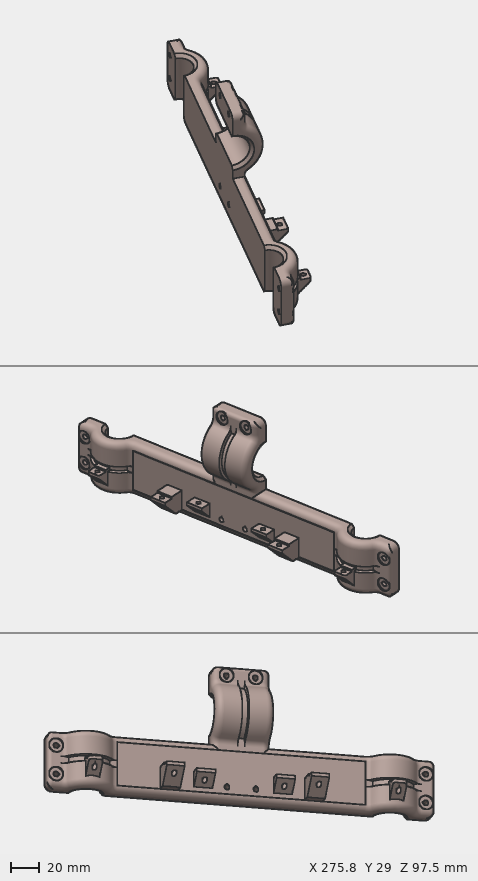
import cadquery as cq
import math

bar_length = 275.8
bar_height = 41.5
overall_height = 97.5
thickness = 10.0
back_round = 5.0
end_round = 3.0
corner_radius = 5.2
pad_height = 0.5

clamp_width = bar_height
bore_chamfer = 2.5
side_bore_radius = 10.0
side_clamp_x = 108.5
top_bore_radius = 13.0
top_clamp_z = 64.3
root_length = 5.5

hole_radius = 1.8
hole_spacing = 20.7
hole_offset = hole_spacing / 2
tab_hole_inset = 6.0
bar_hole_z = 10.0
seat_radius = 5.0
seat_depth = 1.0

groove_mouth_width = 5.0
groove_floor_width = 3.9
groove_depth = 2.2

lug_top_z = 19.3
lug_reach = 29.0
lug_step_reach = 21.5
lug_step_height = 1.5
lug_tip_thickness = 2.5
lug_hole_inset = 4.5
lug_hole_radius = 1.7
lug_corner_radius = 1.7
clamp_lug_width = 10.0
tall_lug_width = 12.7
tall_lug_x = 51.5
short_lug_width = 13.2
short_lug_reach = 19.0
short_lug_places = (-29.5, 27.3)


def teardrop(radius, length, angle):
    """Cutter along Z whose round section has a right-angled point turned to the given angle."""
    shoulder = radius / math.sqrt(2)
    return (
        cq.Workplane("XY")
        .moveTo(shoulder, shoulder)
        .threePointArc((-radius, 0), (shoulder, -shoulder))
        .lineTo(radius * math.sqrt(2), 0)
        .close()
        .extrude(length, both=True)
        .rotate((0, 0, 0), (0, 0, 1), angle)
    )


def screw_hole(angle):
    """Teardrop cutter along Y; the angle of its point is measured from +X towards +Z."""
    return teardrop(hole_radius, 2 * thickness, angle).rotate((0, 0, 0), (1, 0, 0), 90)


def clamp_bend_x(outer_radius):
    """Distance from the clamp axis at which the inside bend meets the flat back."""
    return math.sqrt((outer_radius + back_round) ** 2 - (thickness + back_round) ** 2)


def clamp_shell(outer_radius, tab_end):
    """Arched strip with rounded back edges and tab corners, before any cuts."""
    bend_x = clamp_bend_x(outer_radius)
    bend_y = thickness + back_round
    joint_scale = outer_radius / (outer_radius + back_round)
    joint_x = bend_x * joint_scale
    joint_y = bend_y * joint_scale
    bend_angle = (math.atan2(bend_y, bend_x) + math.pi / 2) / 2
    mid_x = bend_x - back_round * math.cos(bend_angle)
    mid_y = bend_y - back_round * math.sin(bend_angle)

    strip = (
        cq.Workplane("XY")
        .moveTo(-bend_x - root_length, 0)
        .lineTo(-bend_x - root_length, thickness)
        .lineTo(-bend_x, thickness)
        .threePointArc((-mid_x, mid_y), (-joint_x, joint_y))
        .threePointArc((0, outer_radius), (joint_x, joint_y))
        .threePointArc((mid_x, mid_y), (bend_x, thickness))
        .lineTo(tab_end, thickness)
        .lineTo(tab_end, 0)
        .close()
        .extrude(clamp_width / 2, both=True)
    )
    back_edges = strip.faces("not (<X or >X or <Y or <Z or >Z)").edges("<Z or >Z")
    strip = back_edges.fillet(back_round)
    strip = strip.faces(">X").edges(">Y").fillet(end_round)
    outline = (
        cq.Workplane("XZ")
        .rect(2 * tab_end, clamp_width)
        .extrude(-2 * outer_radius)
        .edges("|Y and >X")
        .fillet(corner_radius)
    )
    return strip.intersect(outline)


def bore_cutter(bore_radius):
    """Bore along Z with a chamfered mouth at both sides of the clamp."""
    half_width = clamp_width / 2
    mouth_radius = bore_radius + bore_chamfer
    return (
        cq.Workplane("XZ")
        .moveTo(0, -half_width)
        .lineTo(mouth_radius, -half_width)
        .lineTo(bore_radius, bore_chamfer - half_width)
        .lineTo(bore_radius, half_width - bore_chamfer)
        .lineTo(mouth_radius, half_width)
        .lineTo(0, half_width)
        .close()
        .revolve(360, (0, 0, 0), (0, 1, 0))
    )


def groove_cutter(outer_radius):
    """Tapered ring around the clamp's outside, kept clear of its flat tabs."""
    floor_radius = outer_radius - groove_depth
    clear_radius = 2 * outer_radius
    ring = (
        cq.Workplane("XZ")
        .moveTo(floor_radius, -groove_floor_width / 2)
        .lineTo(outer_radius, -groove_mouth_width / 2)
        .lineTo(clear_radius, -groove_mouth_width / 2)
        .lineTo(clear_radius, groove_mouth_width / 2)
        .lineTo(outer_radius, groove_mouth_width / 2)
        .lineTo(floor_radius, groove_floor_width / 2)
        .close()
        .revolve(360, (0, 0, 0), (0, 1, 0))
    )
    behind_tabs = (
        cq.Workplane("XY")
        .box(2 * clear_radius, clear_radius, clamp_width, centered=(True, False, True))
        .translate((0, thickness, 0))
    )
    return ring.intersect(behind_tabs)


def clamp(bore_radius, tab_end):
    """Half-round clamp about the Z axis, centred on Z = 0, with its screw tab towards +X."""
    outer_radius = bore_radius + thickness
    body = clamp_shell(outer_radius, tab_end)
    body = body.cut(bore_cutter(bore_radius))
    body = body.cut(groove_cutter(outer_radius))
    hole_x = tab_end - tab_hole_inset
    for z in (-hole_offset, hole_offset):
        seat = cq.Workplane("XZ").circle(seat_radius).extrude(-outer_radius)
        body = body.cut(seat.translate((hole_x, thickness - seat_depth, z)))
        body = body.cut(screw_hole(180).translate((hole_x, 0, z)))
    return body


def lug(width, reach, root_y, step_reach):
    """Cable lug centred on X = 0, with a stepped top and a 45 degree underside."""
    tip_z = lug_top_z - lug_tip_thickness
    foot_z = max(back_round, tip_z - (reach - root_y))
    foot_y = reach - (tip_z - foot_z)
    return (
        cq.Workplane("YZ")
        .moveTo(root_y, lug_top_z + lug_step_height)
        .lineTo(root_y, foot_z)
        .lineTo(foot_y, foot_z)
        .lineTo(reach, tip_z)
        .lineTo(reach, lug_top_z)
        .lineTo(step_reach, lug_top_z)
        .lineTo(step_reach, lug_top_z + lug_step_height)
        .close()
        .extrude(width / 2, both=True)
    )


def clamp_lug():
    """Round-cornered lug with a teardrop hole, rooted in the wall of a side clamp."""
    body = lug(clamp_lug_width, lug_reach, side_bore_radius + thickness / 2, lug_step_reach)
    body = body.edges(">Y and |Z").fillet(lug_corner_radius)
    hole = teardrop(lug_hole_radius, bar_height, 90)
    return body.cut(hole.translate((0, lug_reach - lug_hole_inset, 0)))


def bar_lug(width, reach, step_reach):
    """Square-cornered lug with a round hole, rooted in the bar."""
    body = lug(width, reach, thickness / 2, step_reach)
    hole = cq.Workplane("XY").circle(lug_hole_radius).extrude(bar_height)
    return body.cut(hole.translate((0, reach - lug_hole_inset, 0)))


bar_span = 2 * (side_clamp_x - clamp_bend_x(side_bore_radius + thickness))
bar = (
    cq.Workplane("XY")
    .box(bar_span, thickness, bar_height, centered=(True, False, False))
    .edges(">Y and |X")
    .fillet(back_round)
)
pad = (
    cq.Workplane("XY")
    .box(bar_span, thickness + pad_height, bar_height - 2 * back_round, centered=(True, False, False))
    .translate((0, 0, back_round))
)

right_clamp = clamp(side_bore_radius, bar_length / 2 - side_clamp_x)
right_clamp = right_clamp.translate((side_clamp_x, 0, bar_height / 2))
top_clamp = (
    clamp(top_bore_radius, overall_height - top_clamp_z)
    .rotate((0, 0, 0), (0, 1, 0), -90)
    .translate((0, 0, top_clamp_z))
)
result = bar.union(pad).union(right_clamp).union(right_clamp.mirror("YZ")).union(top_clamp)

for x in (-side_clamp_x, side_clamp_x):
    result = result.union(clamp_lug().translate((x, 0, 0)))
for x in (-tall_lug_x, tall_lug_x):
    tall_lug = bar_lug(tall_lug_width, lug_reach, lug_step_reach)
    result = result.union(tall_lug.translate((x, 0, 0)))
for x in short_lug_places:
    short_lug = bar_lug(short_lug_width, short_lug_reach, thickness)
    result = result.union(short_lug.translate((x, 0, 0)))

for x in (-hole_offset, hole_offset):
    result = result.cut(screw_hole(90).translate((x, 0, bar_hole_z)))